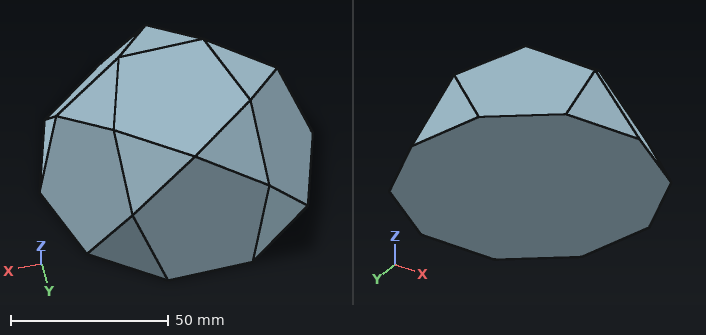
import cadquery as cq
import math

BASE_RADIUS = 45.0
SIDES = 5
FIRST_ANGLE = 90.0

golden_ratio = (1 + math.sqrt(5)) / 2
edge_length = BASE_RADIUS / golden_ratio
top_radius = edge_length / (2 * math.sin(math.pi / SIDES))

top_height = math.sqrt(BASE_RADIUS**2 - top_radius**2)
middle_radius = top_height
middle_height = top_radius

sector = 360.0 / SIDES
half_sector = sector / 2
quarter_sector = sector / 4


def corner(radius, angle, height):
    """Point at a radius and angle (degrees) about Z, at a given height."""
    turn = math.radians(angle)
    return cq.Vector(radius * math.cos(turn), radius * math.sin(turn), height)


def top_corner(angle):
    return corner(top_radius, angle, top_height)


def middle_corner(angle):
    return corner(middle_radius, angle, middle_height)


def base_corner(angle):
    return corner(BASE_RADIUS, angle, 0)


def flat_face(corners):
    """Planar face bounded by straight edges through the corners."""
    return cq.Face.makeFromWires(cq.Wire.makePolygon(corners, close=True))


def sector_faces(angle):
    """Pentagon below one top corner, with the two triangles that follow it anticlockwise."""
    previous_middle = middle_corner(angle - half_sector)
    next_middle = middle_corner(angle + half_sector)
    base_right = base_corner(angle - quarter_sector)
    base_left = base_corner(angle + quarter_sector)
    next_base_right = base_corner(angle + sector - quarter_sector)

    pentagon = [top_corner(angle), previous_middle, base_right, base_left, next_middle]
    upper_triangle = [top_corner(angle), next_middle, top_corner(angle + sector)]
    lower_triangle = [next_middle, base_left, next_base_right]
    return [flat_face(outline) for outline in (pentagon, upper_triangle, lower_triangle)]


def rotunda():
    """Closed solid made of the top pentagon, five side sectors and the base decagon."""
    top_angles = [FIRST_ANGLE + sector * i for i in range(SIDES)]
    base_angles = [FIRST_ANGLE + quarter_sector + half_sector * i for i in range(2 * SIDES)]

    faces = [
        flat_face([top_corner(angle) for angle in top_angles]),
        flat_face([base_corner(angle) for angle in base_angles]),
    ]
    for angle in top_angles:
        faces.extend(sector_faces(angle))
    return cq.Solid.makeSolid(cq.Shell.makeShell(faces))


result = cq.Workplane("XY").newObject([rotunda()])